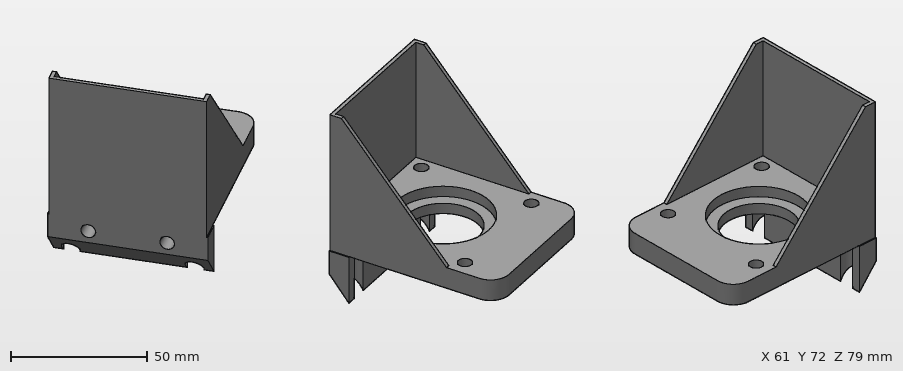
import cadquery as cq

plate_width = 60.05
plate_length = 72.0
plate_thickness = 9.0
corner_radius = 8.0

total_height = 79.0
foot_height = 20.0
upright_height = total_height - foot_height - plate_thickness
wall_thickness = 1.6
gusset_length = 50.0
gusset_top_length = 5.0

foot_width = 61.0
foot_depth = 8.45
foot_face_height = foot_height / 2
foot_hole_diameter = 5.5
foot_hole_spacing = 30.0
foot_hole_z = -foot_face_height / 2

bore_y = 30.4
bore_diameter = 30.0
recess_diameter = 39.2
recess_depth = plate_thickness / 2
mount_hole_diameter = 5.6
mount_hole_spacing = 47.1
clearance_diameter = 6.95


def side_extrusion(points, width):
    """Extrude a (Y, Z) outline along X, centred on X = 0."""
    return cq.Workplane("YZ").polyline(points).close().extrude(width / 2, both=True)


def make_plate():
    return (
        cq.Workplane("XY")
        .box(plate_width, plate_length, plate_thickness, centered=(True, False, False))
        .edges("|Z and >Y")
        .fillet(corner_radius)
    )


def make_upright():
    """Front wall with sloping side gussets, open at the top and back."""
    top_z = plate_thickness + upright_height
    envelope = side_extrusion(
        [
            (0, plate_thickness),
            (gusset_length, plate_thickness),
            (gusset_top_length, top_z),
            (0, top_z),
        ],
        plate_width,
    )
    interior = (
        cq.Workplane("XY", origin=(0, wall_thickness, plate_thickness))
        .box(
            plate_width - 2 * wall_thickness,
            gusset_length,
            upright_height,
            centered=(True, False, False),
        )
    )
    return envelope.cut(interior)


def make_foot():
    foot = side_extrusion(
        [(0, 0), (foot_depth, 0), (foot_depth, -foot_height), (0, -foot_face_height)],
        foot_width,
    )
    cross_holes = (
        cq.Workplane("XZ", origin=(0, 0, foot_hole_z))
        .rarray(foot_hole_spacing, 0.8, 2, 1)
        .circle(foot_hole_diameter / 2)
        .extrude(-foot_depth)
    )
    clearances = (
        cq.Workplane("XY", origin=(0, bore_y - mount_hole_spacing / 2, 0))
        .rarray(mount_hole_spacing, 0.8, 2, 1)
        .circle(clearance_diameter / 2)
        .extrude(-foot_height)
    )
    return foot.cut(cross_holes).cut(clearances)


def cut_plate_holes(body):
    bore_centre = cq.Workplane("XY", origin=(0, bore_y, 0))
    bore = bore_centre.circle(bore_diameter / 2).extrude(plate_thickness)
    recess = (
        bore_centre.workplane(offset=plate_thickness - recess_depth)
        .circle(recess_diameter / 2)
        .extrude(recess_depth)
    )
    mount_holes = (
        bore_centre.rarray(mount_hole_spacing, mount_hole_spacing, 2, 2)
        .circle(mount_hole_diameter / 2)
        .extrude(plate_thickness)
    )
    return body.cut(bore).cut(recess).cut(mount_holes)


result = cut_plate_holes(make_plate().union(make_upright()).union(make_foot()))